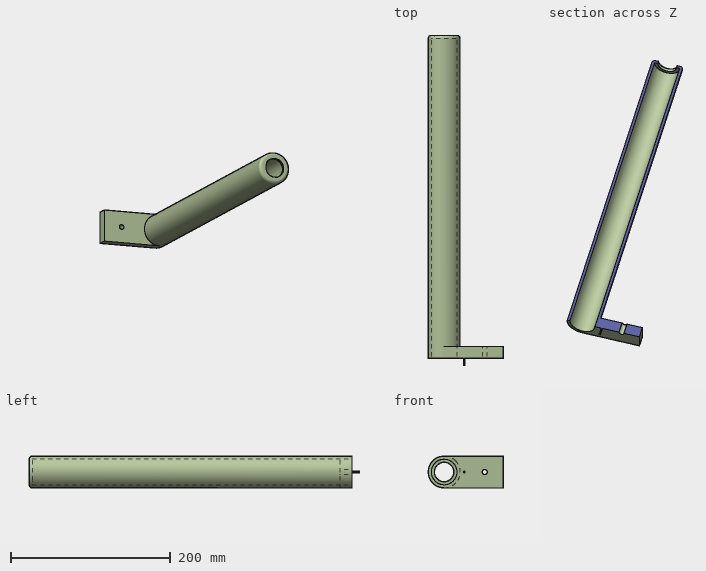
import cadquery as cq

tube_diameter = 40.0
tube_length = 404.0
bore_diameter = 32.0
end_wall = 4.0
end_opening_diameter = 24.0
end_fillet = 4.0

plate_length = 74.04
plate_thickness = 15.0
plate_height = tube_diameter
mount_hole_x = 50.7
mount_hole_diameter = 6.0

pin_x = 25.0
pin_diameter = 2.0
pin_length = 9.0


def cylinder_along_y(diameter, start_y, length, x=0.0):
    """Cylinder parallel to Y, running from start_y towards +Y."""
    start = cq.Vector(x, start_y, 0)
    return cq.Workplane(cq.Solid.makeCylinder(diameter / 2, length, start, cq.Vector(0, 1, 0)))


def make_tube():
    """Solid tube body with the far rim rounded."""
    return cylinder_along_y(tube_diameter, 0, tube_length).faces(">Y").edges().fillet(end_fillet)


def make_plate():
    """Flat plate flush with the front end of the tube."""
    return cq.Workplane("XY").box(
        plate_length, plate_thickness, plate_height, centered=(False, False, True)
    )


def make_pin():
    """Plain pin pointing towards -Y."""
    return cylinder_along_y(pin_diameter, -pin_length, pin_length, pin_x)


def make_bore():
    """Tube interior, narrowing to a smaller opening through the end wall."""
    main_bore = cylinder_along_y(bore_diameter, 0, tube_length - end_wall)
    end_opening = cylinder_along_y(end_opening_diameter, 0, tube_length)
    return main_bore.union(end_opening)


def make_mount_hole():
    """Plain hole through the plate thickness."""
    return cylinder_along_y(mount_hole_diameter, 0, plate_thickness, mount_hole_x)


body = make_tube().union(make_plate()).union(make_pin())
result = body.cut(make_bore()).cut(make_mount_hole())